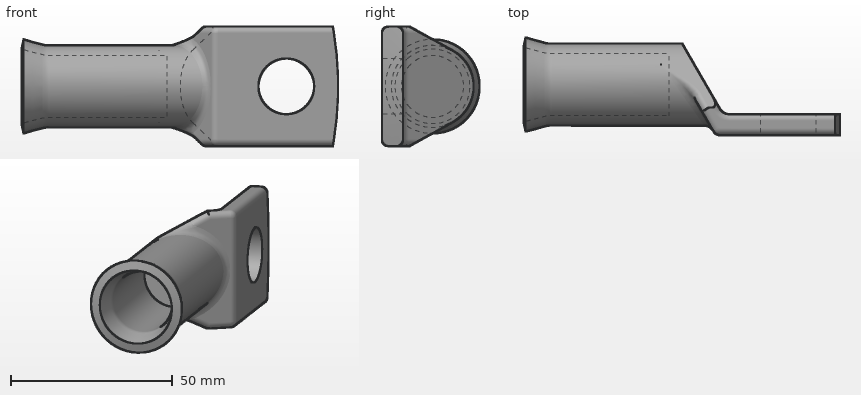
import cadquery as cq
import math

length = 97.85
plate_width = 37.0
plate_front_y = -15.7
plate_back_y = -9.1

barrel_radius = 12.7
bore_radius = 9.6
bore_depth = 45.0
flare_radius = 14.6
flare_bore_radius = 11.5
flare_lip = 0.7
flare_start = 6.7
flare_end = 8.7
flare_overshoot = 0.2

slope_angle = math.radians(60)
back_bend_x = 61.6
front_bend_x = 59.4
shoulder_angle = math.radians(29)
back_bend_radius = 3.4
front_bend_radius = 2.3
root_radius = 3.0
edge_radius = 2.1
close_reach = 0.1
edge_search_reach = 1.5
shoulder_run = 5.9

end_bulge = 1.7
hole_diameter = 17.1
hole_x = 81.8

half_width = plate_width / 2
tangent_y = barrel_radius * math.sin(shoulder_angle)
tangent_z = barrel_radius * math.cos(shoulder_angle)
shoulder_y = tangent_y - (half_width - tangent_z) / math.tan(shoulder_angle)


def front_slope_x(y):
    """X of the neck's front face at height y."""
    return front_bend_x - (y - plate_front_y) / math.tan(slope_angle)


def back_slope_x(y):
    """X of the neck's back face at height y."""
    return back_bend_x - (y - plate_back_y) / math.tan(slope_angle)


def near(x, y, z, reach=close_reach):
    """Select the edges centred close to a point."""
    low = (x - reach, y - reach, z - reach)
    high = (x + reach, y + reach, z + reach)
    return cq.selectors.BoxSelector(low, high)


def bent_strip():
    """Plate and neck as one bent strip, wider than the finished lug."""
    top = barrel_radius + root_radius
    strip = (
        cq.Workplane("XY")
        .polyline([
            (front_bend_x, plate_front_y),
            (length, plate_front_y),
            (length, plate_back_y),
            (back_bend_x, plate_back_y),
            (back_slope_x(top), top),
            (front_slope_x(top), top),
        ])
        .close()
        .extrude(plate_width, both=True)
    )
    strip = strip.edges(near(back_bend_x, plate_back_y, 0)).fillet(back_bend_radius)
    return strip.edges(near(front_bend_x, plate_front_y, 0)).fillet(front_bend_radius)


def straight_barrel():
    """Solid barrel ending inside the thickness of the sloping neck."""
    cylinder = cq.Workplane("YZ").circle(barrel_radius).extrude(length)
    top = plate_width
    middle_x = (front_bend_x + back_slope_x(plate_front_y)) / 2
    rise_x = (top - plate_front_y) / math.tan(slope_angle)
    keep = (
        cq.Workplane("XY")
        .polyline([
            (0, plate_front_y),
            (middle_x, plate_front_y),
            (middle_x - rise_x, top),
            (0, top),
        ])
        .close()
        .extrude(top, both=True)
    )
    return cylinder.intersect(keep)


def end_outline():
    """Outline along X: barrel circle with shoulders leaving it at a tangent."""
    return (
        cq.Workplane("YZ")
        .moveTo(plate_front_y, -half_width)
        .lineTo(shoulder_y, -half_width)
        .lineTo(tangent_y, -tangent_z)
        .threePointArc((barrel_radius, 0), (tangent_y, tangent_z))
        .lineTo(shoulder_y, half_width)
        .lineTo(plate_front_y, half_width)
        .close()
        .extrude(length)
    )


def side_outline():
    """Outline along Y: straight sides and a bulged plate end."""
    return (
        cq.Workplane("XZ")
        .moveTo(0, -half_width)
        .lineTo(length - end_bulge, -half_width)
        .threePointArc((length, 0), (length - end_bulge, half_width))
        .lineTo(0, half_width)
        .close()
        .extrude(plate_width, both=True)
    )


def lug_body():
    """Barrel blended into the strip, then trimmed to both outlines."""
    body = bent_strip().union(straight_barrel())
    body = body.edges(near(front_slope_x(0), 0, 0)).fillet(root_radius)
    return body.intersect(end_outline()).intersect(side_outline())


def round_side_edges(body):
    """Round the upper side's edges, then mirror the upper half to the lower side."""
    neck_y = (plate_front_y + shoulder_y) / 2
    shoulder_mid_y = shoulder_y + shoulder_run / 2
    shoulder_mid_z = half_width - shoulder_run / 2 * math.tan(shoulder_angle)
    chain_starts = [
        ((front_bend_x + length) / 2, plate_front_y, half_width),
        (front_slope_x(neck_y), neck_y, half_width),
        (front_slope_x(shoulder_mid_y), shoulder_mid_y, shoulder_mid_z),
        ((back_bend_x + length) / 2, plate_back_y, half_width),
    ]
    edges = []
    for point in chain_starts:
        edges += body.edges(near(*point, edge_search_reach)).vals()
    rounded = cq.Workplane(body.val().fillet(edge_radius, edges))
    upper_half = cq.Workplane("XY").rect(2 * length, 2 * length).extrude(plate_width)
    rounded = rounded.intersect(upper_half, clean=False)
    return rounded.union(rounded.mirror("XY"))


def flare():
    """Solid flare at the mouth, with a conical lip and a rounded run-out."""
    return (
        cq.Workplane("XY")
        .lineTo(0, flare_bore_radius)
        .lineTo(flare_lip, flare_radius)
        .lineTo(flare_start, barrel_radius + flare_overshoot)
        .tangentArcPoint((flare_end, barrel_radius), relative=False)
        .lineTo(flare_end, 0)
        .close()
        .revolve(360, (0, 0, 0), (1, 0, 0))
    )


def flared_bore():
    """Blind bore with a conical mouth and a rounded run-out."""
    return (
        cq.Workplane("XY")
        .lineTo(0, flare_bore_radius)
        .lineTo(flare_start, bore_radius + flare_overshoot)
        .tangentArcPoint((flare_end, bore_radius), relative=False)
        .lineTo(bore_depth, bore_radius)
        .lineTo(bore_depth, 0)
        .close()
        .revolve(360, (0, 0, 0), (1, 0, 0))
    )


def bolt_hole():
    """Cylinder through the plate along Y."""
    return (
        cq.Workplane("XZ")
        .center(hole_x, 0)
        .circle(hole_diameter / 2)
        .extrude(plate_width, both=True)
    )


mouth_box = cq.Workplane("XY").box(2 * flare_end, plate_width, plate_width)
lug = round_side_edges(lug_body()).cut(mouth_box).union(flare())
result = lug.cut(flared_bore()).cut(bolt_hole())